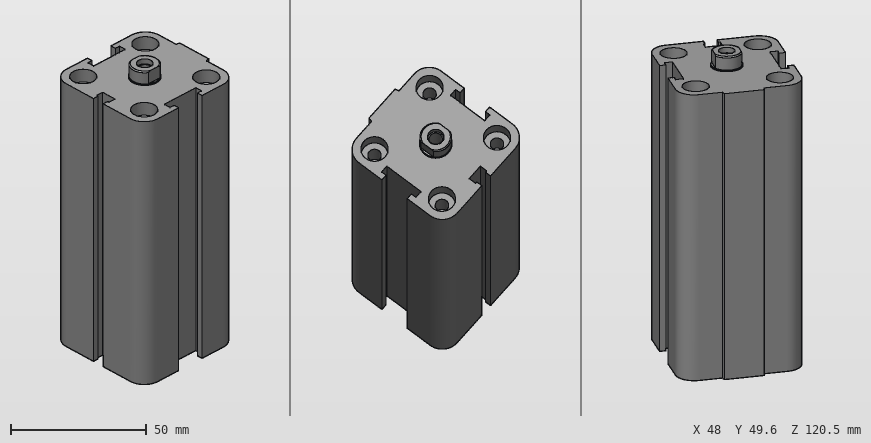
import cadquery as cq

total_height = 120.5
rod_projection = 5.9
housing_height = total_height - rod_projection
housing_width = 48.0
half_width = housing_width / 2
corner_radius = 7.1

rib_height = 1.6
rib_base_width = 15.9
rib_top_width = 15.3

lip_thickness = 2.4
slot_depth = 5.4
side_mouth_width = 12.0
side_channel_width = 16.3
front_mouth_width = 5.1
front_channel_width = 6.5

hole_spacing = 32.0
hole_diameter = 5.0
hole_depth = 14.5
counterbore_diameter = 10.0
counterbore_depth = 5.5

collar_diameter = 12.0
collar_height = 0.54
rod_diameter = 11.7
rod_chamfer = 0.5
across_flats = 10.0
bore_depth = 14.5
thread_diameter = 5.0
thread_depth = 12.0
thread_recess_diameter = 6.0
thread_recess_depth = 2.2


def t_slot(mouth_width, channel_width, angle):
    """Full-height T-slot cutter opening at -Y, turned about Z by the angle."""
    channel_depth = slot_depth - lip_thickness
    mouth = (
        cq.Workplane("XY")
        .rect(mouth_width, 2 * lip_thickness)
        .extrude(housing_height)
        .translate((0, -half_width, 0))
    )
    channel = (
        cq.Workplane("XY")
        .rect(channel_width, channel_depth)
        .extrude(housing_height)
        .translate((0, -half_width + lip_thickness + channel_depth / 2, 0))
    )
    return mouth.union(channel).rotate((0, 0, 0), (0, 0, 1), angle)


def make_housing():
    body = (
        cq.Workplane("XY")
        .rect(housing_width, housing_width)
        .extrude(housing_height)
        .edges("|Z")
        .fillet(corner_radius)
    )

    rib = (
        cq.Workplane("XY")
        .moveTo(-rib_base_width / 2, 0)
        .lineTo(-rib_base_width / 2, half_width)
        .lineTo(-rib_top_width / 2, half_width + rib_height)
        .lineTo(rib_top_width / 2, half_width + rib_height)
        .lineTo(rib_base_width / 2, half_width)
        .lineTo(rib_base_width / 2, 0)
        .close()
        .extrude(housing_height)
    )
    body = body.union(rib)

    body = body.cut(t_slot(front_mouth_width, front_channel_width, 0))
    for angle in (-90, 90):
        body = body.cut(t_slot(side_mouth_width, side_channel_width, angle))

    body = (
        body.faces(">Z")
        .workplane(origin=(0, 0, housing_height))
        .rect(hole_spacing, hole_spacing, forConstruction=True)
        .vertices()
        .cboreHole(hole_diameter, counterbore_diameter, counterbore_depth, hole_depth)
    )

    bore = (
        cq.Workplane("XY", origin=(0, 0, housing_height - bore_depth))
        .circle(collar_diameter / 2)
        .extrude(bore_depth)
    )
    return body.cut(bore)


def make_rod():
    collar_bevel = (collar_diameter - rod_diameter) / 2
    collar = (
        cq.Workplane("XY", origin=(0, 0, housing_height - bore_depth))
        .circle(collar_diameter / 2)
        .extrude(bore_depth + collar_height)
        .faces(">Z")
        .chamfer(collar_bevel)
    )

    end_length = rod_projection - collar_height
    rod_end = (
        cq.Workplane("XY", origin=(0, 0, housing_height + collar_height))
        .circle(rod_diameter / 2)
        .extrude(end_length)
        .faces(">Z")
        .chamfer(rod_chamfer)
    )
    flats = (
        cq.Workplane("XY", origin=(0, 0, housing_height + collar_height))
        .rect(across_flats, rod_diameter)
        .extrude(end_length)
    )
    rod = collar.union(rod_end.intersect(flats))

    return (
        rod.faces(">Z")
        .workplane(origin=(0, 0, total_height))
        .cboreHole(thread_diameter, thread_recess_diameter, thread_recess_depth, thread_depth)
    )


housing = make_housing()
rod = make_rod()
result = cq.Compound.makeCompound([housing.val(), rod.val()])